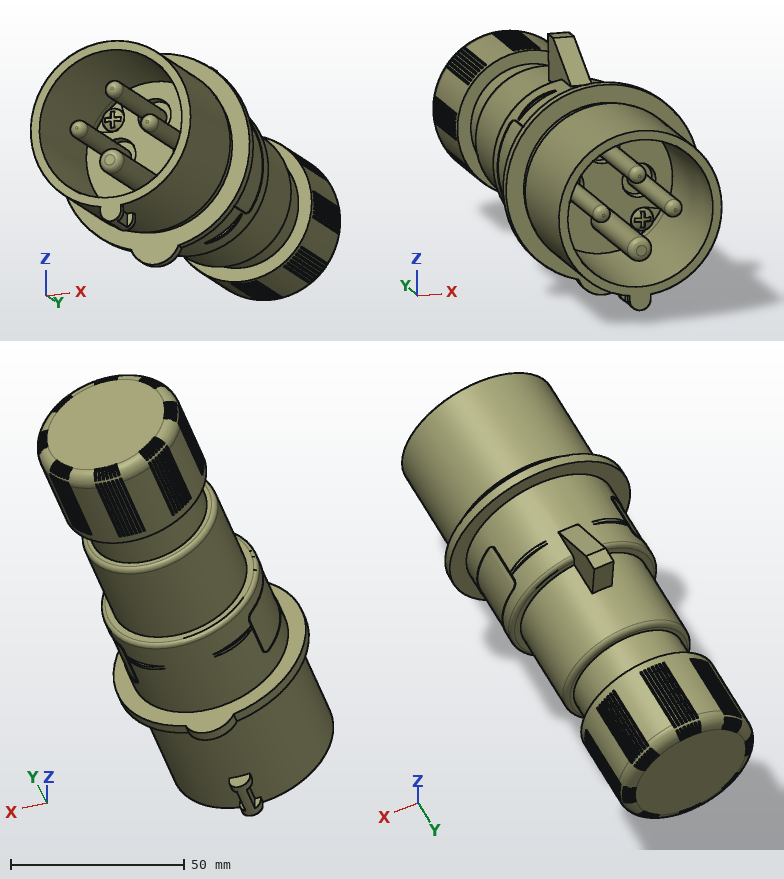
import cadquery as cq
import math


TOTAL_LENGTH = 136.0
TOTAL_HEIGHT = 67.25

EARTH_PIN_TIP_Y = -0.9
PHASE_PIN_TIP_Y = 1.0
SHROUD_END_Y = 32.9
FLANGE_FRONT_Y = 36.5
FLANGE_BACK_Y = 39.5
BODY_END_Y = 67.5
SLEEVE_END_Y = 95.6
NUT_FRONT_Y = 108.2
NUT_END_Y = TOTAL_LENGTH + EARTH_PIN_TIP_Y

CUT_CLEARANCE = 1.0

SHROUD_RADIUS = 24.6
BODY_RADIUS = 23.9
FLANGE_RADIUS = 29.23
SLEEVE_RADIUS = 20.55
NECK_RADIUS = 17.7
NUT_RADIUS = 21.75
BODY_FILLET = 1.3
SLEEVE_FILLET = 1.5
NUT_FILLET = 3.8

LOBE_RADIUS = 7.8
LOBE_BOTTOM_Z = -33.35
LOBE_CENTRE_Z = LOBE_BOTTOM_Z + LOBE_RADIUS

CAVITY_MOUTH_RADIUS = 21.9
CAVITY_FLOOR_RADIUS = 21.0
CAVITY_DEPTH = FLANGE_FRONT_Y

PIN_CIRCLE_RADIUS = 10.85
PHASE_PIN_RADIUS = 2.6
PHASE_TIP_FILLET = 2.2
EARTH_PIN_RADIUS = 3.6
EARTH_TIP_FILLET = 2.05
PHASE_PIN_ANGLES = (0, 90, 180)
EARTH_PIN_ANGLE = 270
PIN_WELL_DEPTH = 3.0
PIN_WELL_RADIUS = 5.05
PIN_WELL_FLOOR_RADIUS = 4.8

SCREW_ANGLES = (140, -44.5)
SCREW_CIRCLE_RADIUS = 17.55
SCREW_RADIUS = 3.4
SCREW_HEAD_HEIGHT = 2.0
SCREW_DOME_HEIGHT = 1.2
CROSS_SLOT_LENGTH = 4.8
CROSS_SLOT_WIDTH = 1.2
CROSS_SLOT_DEPTH = 1.0
SCREW_POCKET_DEPTH = 3.0
SCREW_POCKET_RADIUS = 4.1
SCREW_POCKET_HALF_SPREAD = 34.5

KEY_WIDTH = 6.3
KEY_LENGTH = 12.1
KEY_CENTRE_Z = -25.8
KEY_WEB_WIDTH = 2.9
KEY_END_LENGTH = 2.2

LEVER_WIDTH = 6.3
LEVER_TOP_Z = LOBE_BOTTOM_Z + TOTAL_HEIGHT
LEVER_FRONT_Y = 57.4
LEVER_TOP_FRONT_Y = 74.9
LEVER_TOP_BACK_Y = 80.1
LEVER_ROOT_BACK_Y = 78.9
LEVER_EMBED = 1.0
LEVER_ROOT_Z = SLEEVE_RADIUS - LEVER_EMBED

GRIP_START_Y = 46.3
GRIP_END_Y = 62.3
GRIP_HEIGHT = 28.4
GRIP_CORNER_RADIUS = 1.8
GRIP_DEPTH = 0.25

RIDGE_CENTRE_Y = 58.3
RIDGE_THICKNESS = 1.0
RIDGE_HALF_SPREAD = 16.6
RIDGE_HEIGHT = 0.7
RIDGE_ANGLES = (55, 125, 235, 305)

GROOVE_GROUPS = 8
GROOVES_PER_GROUP = 7
GROOVE_WIDTH = 0.5
GROOVE_PITCH = 1.22
GROOVE_DEPTH = 0.2
GROOVE_START_Y = 110.7
RIM_NOTCH_START = 2.1


def polar_point(radius, angle):
    """Point (x, z) at a radius and an angle from +X towards +Z."""
    turn = math.radians(angle)
    return radius * math.cos(turn), radius * math.sin(turn)


def cross_plane(y, x=0, z=0, angle=0):
    """Workplane facing the mouth at station y, its local x turned from +X towards +Z."""
    direction_x, direction_z = polar_point(1, angle)
    plane = cq.Plane(origin=(x, y, z), xDir=(direction_x, 0, direction_z), normal=(0, -1, 0))
    return cq.Workplane(plane)


def rod(radius, start_y, end_y, x=0, z=0):
    """Cylinder along Y between two stations."""
    return cross_plane(end_y, x, z).circle(radius).extrude(end_y - start_y)


def taper_rod(front_radius, back_radius, front_y, back_y, x=0, z=0):
    """Cone frustum along Y between two stations."""
    length = back_y - front_y
    cone = cq.Solid.makeCone(
        front_radius, back_radius, length, pnt=cq.Vector(x, front_y, z), dir=cq.Vector(0, 1, 0)
    )
    return cq.Workplane(obj=cone)


def make_outer_shell():
    shroud = rod(SHROUD_RADIUS, 0, SHROUD_END_Y)
    body = rod(BODY_RADIUS, SHROUD_END_Y, BODY_END_Y).faces(">Y").edges().fillet(BODY_FILLET)
    sleeve = rod(SLEEVE_RADIUS, BODY_END_Y, SLEEVE_END_Y).faces(">Y").edges().fillet(SLEEVE_FILLET)
    neck = rod(NECK_RADIUS, SLEEVE_END_Y, NUT_FRONT_Y)
    flange = rod(FLANGE_RADIUS, FLANGE_FRONT_Y, FLANGE_BACK_Y)
    lobe = rod(LOBE_RADIUS, FLANGE_FRONT_Y, FLANGE_BACK_Y, z=LOBE_CENTRE_Z)
    return shroud.union(body).union(sleeve).union(neck).union(flange.union(lobe))


def make_groove_cutter(floor_start, floor_end):
    """Thin blade whose inner edge runs between two (radius, y) points."""
    outside_radius = NUT_RADIUS + CUT_CLEARANCE
    return (
        cq.Workplane("XY")
        .moveTo(*floor_start)
        .lineTo(outside_radius, floor_start[1])
        .lineTo(outside_radius, floor_end[1])
        .lineTo(*floor_end)
        .close()
        .extrude(GROOVE_WIDTH / 2, both=True)
    )


def make_nut():
    """Cable nut with groups of shallow grooves that continue as notches over its rounded rim."""
    nut = rod(NUT_RADIUS, NUT_FRONT_Y, NUT_END_Y).faces(">Y").edges().fillet(NUT_FILLET)
    fillet_start_y = NUT_END_Y - NUT_FILLET
    notch_rise = math.sqrt(NUT_FILLET**2 - RIM_NOTCH_START**2)
    floor_radius = NUT_RADIUS - GROOVE_DEPTH
    straight_groove = make_groove_cutter((floor_radius, GROOVE_START_Y), (floor_radius, NUT_END_Y))
    notch_start = (NUT_RADIUS - NUT_FILLET + notch_rise, fillet_start_y + RIM_NOTCH_START)
    rim_notch = make_groove_cutter(notch_start, (NUT_RADIUS - NUT_FILLET, NUT_END_Y))
    groove_step = math.degrees(GROOVE_PITCH / NUT_RADIUS)
    cutters = []
    for group in range(GROOVE_GROUPS):
        for index in range(GROOVES_PER_GROUP):
            offset = (index - (GROOVES_PER_GROUP - 1) / 2) * groove_step
            angle = group * 360 / GROOVE_GROUPS + offset
            for cutter in (straight_groove, rim_notch):
                cutters.append(cutter.rotate((0, 0, 0), (0, 1, 0), angle).val())
    return cq.Workplane(obj=nut.val().cut(*cutters))


def make_grip_recesses():
    shell = rod(BODY_RADIUS + CUT_CLEARANCE, GRIP_START_Y, GRIP_END_Y)
    shell = shell.cut(rod(BODY_RADIUS - GRIP_DEPTH, GRIP_START_Y, GRIP_END_Y))
    window = (
        cq.Workplane("YZ")
        .center((GRIP_START_Y + GRIP_END_Y) / 2, 0)
        .rect(GRIP_END_Y - GRIP_START_Y, GRIP_HEIGHT)
        .extrude(BODY_RADIUS + CUT_CLEARANCE, both=True)
        .edges("|X")
        .fillet(GRIP_CORNER_RADIUS)
    )
    return shell.intersect(window)


def make_ridge(angle):
    """Crescent ridge: a slice of a smaller off-axis disc that bulges through the body."""
    half_chord, chord_distance = polar_point(BODY_RADIUS, 90 - RIDGE_HALF_SPREAD)
    crest_radius = BODY_RADIUS + RIDGE_HEIGHT
    sagitta = crest_radius - chord_distance
    disc_radius = (half_chord**2 + sagitta**2) / (2 * sagitta)
    x, z = polar_point(crest_radius - disc_radius, angle)
    start_y = RIDGE_CENTRE_Y - RIDGE_THICKNESS / 2
    return rod(disc_radius, start_y, start_y + RIDGE_THICKNESS, x, z)


def make_lever():
    return (
        cq.Workplane("YZ")
        .moveTo(LEVER_FRONT_Y, BODY_RADIUS)
        .lineTo(LEVER_TOP_FRONT_Y, LEVER_TOP_Z)
        .lineTo(LEVER_TOP_BACK_Y, LEVER_TOP_Z)
        .lineTo(LEVER_ROOT_BACK_Y, LEVER_ROOT_Z)
        .lineTo(LEVER_FRONT_Y, LEVER_ROOT_Z)
        .close()
        .extrude(LEVER_WIDTH / 2, both=True)
    )


def make_key():
    root_z = -(SHROUD_RADIUS + CAVITY_MOUTH_RADIUS) / 2
    half_width = KEY_WIDTH / 2
    key = (
        cross_plane(KEY_LENGTH)
        .moveTo(-half_width, root_z)
        .lineTo(-half_width, KEY_CENTRE_Z)
        .threePointArc((0, KEY_CENTRE_Z - half_width), (half_width, KEY_CENTRE_Z))
        .lineTo(half_width, root_z)
        .close()
        .extrude(KEY_LENGTH)
    )
    pocket_length = KEY_LENGTH - 2 * KEY_END_LENGTH
    pocket_depth = (KEY_WIDTH - KEY_WEB_WIDTH) / 2
    pocket_offset = (KEY_WEB_WIDTH + pocket_depth) / 2
    for side in (-1, 1):
        pocket = cq.Workplane("XY").box(pocket_depth, pocket_length, KEY_WIDTH * 2)
        key = key.cut(pocket.translate((side * pocket_offset, KEY_LENGTH / 2, KEY_CENTRE_Z)))
    return key


def make_pin(angle, radius, tip_y, tip_fillet):
    x, z = polar_point(PIN_CIRCLE_RADIUS, angle)
    root_y = CAVITY_DEPTH + PIN_WELL_DEPTH
    return rod(radius, tip_y, root_y, x, z).faces("<Y").edges().fillet(tip_fillet)


def make_pin_well(angle):
    x, z = polar_point(PIN_CIRCLE_RADIUS, angle)
    floor_y = CAVITY_DEPTH + PIN_WELL_DEPTH
    return taper_rod(PIN_WELL_RADIUS, PIN_WELL_FLOOR_RADIUS, CAVITY_DEPTH, floor_y, x, z)


def make_screw_pocket(angle):
    """Round pocket that widens outwards along two tangents up to the cavity wall."""
    x, z = polar_point(SCREW_CIRCLE_RADIUS, angle)
    tangent = polar_point(SCREW_POCKET_RADIUS, 90 + SCREW_POCKET_HALF_SPREAD)
    reach = CAVITY_FLOOR_RADIUS - SCREW_CIRCLE_RADIUS + SCREW_POCKET_RADIUS
    spread = tangent[1] + (reach - tangent[0]) * math.tan(math.radians(SCREW_POCKET_HALF_SPREAD))
    floor_y = CAVITY_DEPTH + SCREW_POCKET_DEPTH
    pocket = (
        cross_plane(floor_y, x, z, angle)
        .moveTo(*tangent)
        .lineTo(reach, spread)
        .lineTo(reach, -spread)
        .lineTo(tangent[0], -tangent[1])
        .threePointArc((-SCREW_POCKET_RADIUS, 0), tangent)
        .close()
        .extrude(SCREW_POCKET_DEPTH)
    )
    return pocket.intersect(rod(CAVITY_FLOOR_RADIUS, CAVITY_DEPTH, floor_y))


def make_screw(angle):
    """Domed screw head with a cross slot."""
    x, z = polar_point(SCREW_CIRCLE_RADIUS, angle)
    base_y = CAVITY_DEPTH + SCREW_POCKET_DEPTH
    crown_y = base_y - SCREW_HEAD_HEIGHT
    dome_radius = (SCREW_RADIUS**2 + SCREW_DOME_HEIGHT**2) / (2 * SCREW_DOME_HEIGHT)
    dome = cq.Workplane("XY").sphere(dome_radius).translate((x, crown_y + dome_radius, z))
    head = rod(SCREW_RADIUS, crown_y, base_y, x, z).intersect(dome)
    slot_start = cross_plane(crown_y + CROSS_SLOT_DEPTH, x, z)
    for size in ((CROSS_SLOT_LENGTH, CROSS_SLOT_WIDTH), (CROSS_SLOT_WIDTH, CROSS_SLOT_LENGTH)):
        head = head.cut(slot_start.rect(*size).extrude(CROSS_SLOT_DEPTH))
    return head


def make_plug():
    plug = make_outer_shell().union(make_nut())
    plug = plug.union(make_lever()).union(make_key())
    for angle in RIDGE_ANGLES:
        plug = plug.union(make_ridge(angle))
    plug = plug.cut(make_grip_recesses())
    plug = plug.cut(taper_rod(CAVITY_MOUTH_RADIUS, CAVITY_FLOOR_RADIUS, 0, CAVITY_DEPTH))
    for angle in PHASE_PIN_ANGLES:
        plug = plug.cut(make_pin_well(angle))
        plug = plug.union(make_pin(angle, PHASE_PIN_RADIUS, PHASE_PIN_TIP_Y, PHASE_TIP_FILLET))
    plug = plug.union(make_pin(EARTH_PIN_ANGLE, EARTH_PIN_RADIUS, EARTH_PIN_TIP_Y, EARTH_TIP_FILLET))
    for angle in SCREW_ANGLES:
        plug = plug.cut(make_screw_pocket(angle)).union(make_screw(angle))
    return plug


result = make_plug()